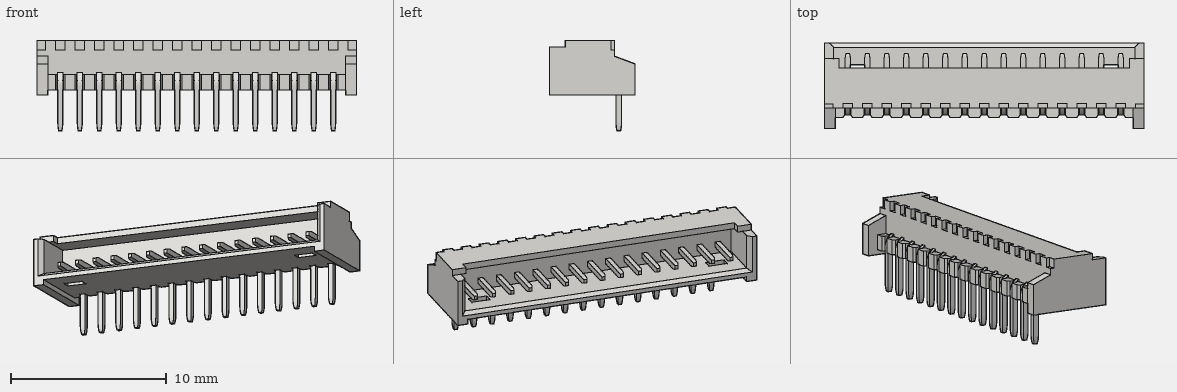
import cadquery as cq
import math


length = 20.5
depth = 5.5
height = 3.5
body_depth = 4.18
underside = 0.33
end_wall = 0.7
arm_slope_top = 2.5
arm_slope_bottom = 2.0

cavity_wall = 0.6
roof = 0.4
front_wall = 1.0
cavity_floor = 0.82
mouth_step = 1.0
window_inset = 0.95
window_depth = 1.6
lead_depth = 0.29
lead_side = 0.29
lead_floor = 0.2
floor_hole_start = 1.41
floor_hole_depth = 0.62

notch_width = 0.6
notch_height = 0.6
notch_depth = 0.3
end_notch_width = 0.53
end_notch_depth = 0.25

ledge_front = 4.8
ledge_top = 1.31
slot_width = 0.39
slot_mouth = 0.62
slot_lead = 0.16

pin_count = 15
pitch = 1.25
pin_width = 0.33
pin_thickness = 0.37
pin_front = 4.63
bend_radius = 1.0
bend_start = 0.62
pin_bottom = -2.3
pin_tip = 0.68
mating_tip_length = 0.3
leg_tip_length = 0.51
tip_inset = 0.06

half_length = length / 2
cavity_top = height - roof
cavity_half = half_length - cavity_wall
arm_inner = half_length - end_wall
pin_places = [pitch * (i - (pin_count - 1) / 2) for i in range(pin_count)]


def block(x0, x1, y0, y1, z0, z1):
    """Box between two opposite corners."""
    return cq.Workplane("XY").box(x1 - x0, y1 - y0, z1 - z0, centered=False).translate((x0, y0, z0))


def rounded_tip(length):
    """Pin end on Z = 0 pointing up, its four sides curving inward from the full pin section."""

    def curved_prism(plane, width, thickness):
        half = width / 2
        end_half = half - tip_inset
        arc_radius = (tip_inset**2 + length**2) / (2 * tip_inset)
        return (
            cq.Workplane(plane)
            .moveTo(-half, 0)
            .lineTo(half, 0)
            .radiusArc((end_half, length), -arc_radius)
            .lineTo(-end_half, length)
            .radiusArc((-half, 0), -arc_radius)
            .close()
            .extrude(thickness / 2, both=True)
        )

    across_row = curved_prism("XZ", pin_width, pin_thickness)
    across_thickness = curved_prism("YZ", pin_thickness, pin_width)
    return across_row.intersect(across_thickness)


def make_housing():
    """Side profile along the full length, relieved below and in front between the end walls."""
    profile = [
        (0, 0),
        (0, cavity_top),
        (-mouth_step, cavity_top),
        (-mouth_step, height),
        (-body_depth, height),
        (-body_depth, arm_slope_top),
        (-depth, arm_slope_bottom),
        (-depth, 0),
    ]
    housing = cq.Workplane("YZ").polyline(profile).close().extrude(half_length, both=True)
    front_gap = block(-arm_inner, arm_inner, -depth, -body_depth, 0, height)
    bottom_gap = block(-arm_inner, arm_inner, -depth, 0, 0, underside)
    return housing.cut(front_gap).cut(bottom_gap)


def make_cavity():
    """Mating cavity with its chamfered mouth, the roof window and the two floor holes."""
    cavity = block(-cavity_half, cavity_half, front_wall - body_depth, 0, cavity_floor, cavity_top)
    mouth_half = cavity_half + lead_side
    mouth_height = cavity_top - cavity_floor
    lead = (
        cq.Workplane("XZ")
        .center(0, cavity_top - (mouth_height + lead_floor) / 2)
        .rect(2 * mouth_half, mouth_height + lead_floor)
        .workplane(offset=lead_depth)
        .center(0, lead_floor / 2)
        .rect(2 * cavity_half, mouth_height)
        .loft(ruled=True)
    )
    window_half = half_length - window_inset
    window = block(-window_half, window_half, -window_depth, 0, cavity_top, height)
    cavity = cavity.union(lead).union(window)
    hole_back = -floor_hole_start
    hole_front = hole_back - floor_hole_depth
    for x0, x1 in (pin_places[:2], pin_places[-2:]):
        cavity = cavity.union(block(x0, x1, hole_front, hole_back, 0, cavity_floor))
    return cavity


def notch(x0, width, depth_from_front):
    """Cutter for one notch in the top front edge, starting at x0."""
    back = depth_from_front - body_depth
    return block(x0, x0 + width, -body_depth, back, height - notch_height, height)


def make_notches():
    """Small notches above each pin, and one at either end of the body."""
    notches = notch(-half_length, end_notch_width, end_notch_depth)
    notches = notches.union(notch(half_length - end_notch_width, end_notch_width, end_notch_depth))
    for x in pin_places:
        notches = notches.union(notch(x - notch_width / 2, notch_width, notch_depth))
    return notches


def make_ledge():
    """Ledge between the end walls with one flared slot for each pin."""
    ledge = block(-arm_inner, arm_inner, -ledge_front, -body_depth, underside, ledge_top)
    flare = slot_lead - ledge_front
    half_slot = slot_width / 2
    half_mouth = slot_mouth / 2
    slot_outline = [
        (-half_slot, -body_depth),
        (-half_slot, flare),
        (-half_mouth, -ledge_front),
        (half_mouth, -ledge_front),
        (half_slot, flare),
        (half_slot, -body_depth),
    ]
    slot = cq.Workplane("XY").polyline(slot_outline).close().extrude(ledge_top)
    for x in pin_places:
        ledge = ledge.cut(slot.translate((x, 0, 0)))
    return ledge


def make_pin():
    """Bent pin centred on X = 0: mating blade, quarter bend and solder leg."""
    pin_top = bend_start + bend_radius
    bend_center = bend_radius - pin_front
    inner_radius = bend_radius - pin_thickness
    blade_end = -pin_tip - mating_tip_length
    leg_end = pin_bottom + leg_tip_length
    diagonal = math.sqrt(0.5)
    shaft = (
        cq.Workplane("YZ")
        .moveTo(blade_end, pin_top)
        .lineTo(bend_center, pin_top)
        .threePointArc(
            (bend_center - bend_radius * diagonal, bend_start + bend_radius * diagonal),
            (-pin_front, bend_start),
        )
        .lineTo(-pin_front, leg_end)
        .lineTo(pin_thickness - pin_front, leg_end)
        .lineTo(pin_thickness - pin_front, bend_start)
        .threePointArc(
            (bend_center - inner_radius * diagonal, bend_start + inner_radius * diagonal),
            (bend_center, pin_top - pin_thickness),
        )
        .lineTo(blade_end, pin_top - pin_thickness)
        .close()
        .extrude(pin_width / 2, both=True)
    )
    leg_tip = rounded_tip(leg_tip_length).rotate((0, 0, 0), (1, 0, 0), 180)
    leg_tip = leg_tip.translate((0, pin_thickness / 2 - pin_front, leg_end))
    mating_tip = rounded_tip(mating_tip_length).rotate((0, 0, 0), (1, 0, 0), -90)
    mating_tip = mating_tip.translate((0, blade_end, pin_top - pin_thickness / 2))
    return shaft.union(leg_tip).union(mating_tip)


result = make_housing().cut(make_cavity()).cut(make_notches()).union(make_ledge())
pin = make_pin()
for x in pin_places:
    result = result.union(pin.translate((x, 0, 0)))